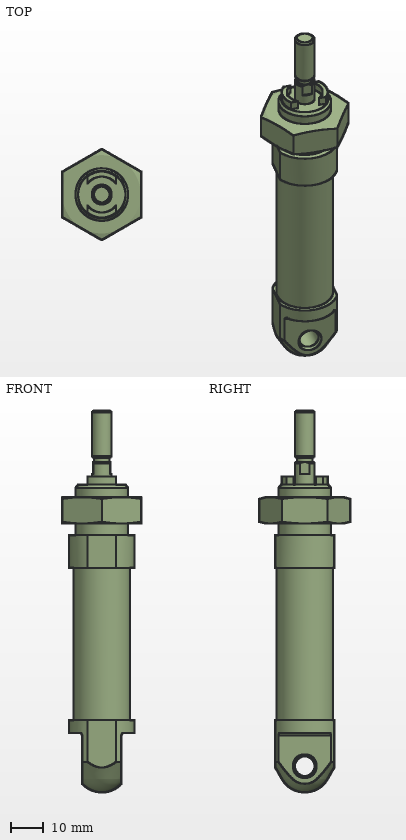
import cadquery as cq
import math


clevis_radius = 8.0
cone_half_angle = 30.0
clevis_thickness = 11.9
clevis_hole_diameter = 6.0
clevis_mouth_diameter = 7.2
clevis_mouth_depth = 1.0
shoulder_z = 10.0
shoulder_bevel_width = 0.35
shoulder_bevel_height = 0.7

cap_diameter = 20.0
cap_across_flats = 18.0
rear_cap_top_z = 14.0
tube_diameter = 17.3
front_cap_length = 10.0
front_cap_top_z = 70.2

nose_diameter = 16.0
nose_tip_diameter = 14.38
nose_length = 15.3
nose_chamfer_length = 1.0

lug_inner_diameter = 10.9
lug_outer_diameter = 14.0
lug_width = 8.7
lug_height = 2.5

nut_across_flats = 24.0
nut_height = 8.0
nut_standoff = 3.5
nut_z = front_cap_top_z + nut_standoff
nut_chamfer_diameter = 23.8
nut_chamfer_angle = 15.0

rod_diameter = 6.0
rod_neck_diameter = 4.8
rod_top_z = 108.0
rod_thread_length = 14.4
rod_neck_length = 1.2
rod_shank_chamfer = 0.4
rod_across_flats = 5.2
rod_flat_length = 3.6

nose_face_z = front_cap_top_z + nose_length
front_cap_bottom_z = front_cap_top_z - front_cap_length


def disc(diameter, bottom_z, height):
    return cq.Workplane("XY").workplane(offset=bottom_z).circle(diameter / 2).extrude(height)


def revolve_about_z(profile):
    """Turn a closed (radius, z) profile drawn on the XZ plane about the Z axis."""
    return profile.revolve(360, (0, 0, 0), (0, 1, 0))


def flatted_cap(bottom_z, height):
    """Round cap with two parallel flats facing -Y and +Y."""
    flats = (
        cq.Workplane("XY")
        .workplane(offset=bottom_z)
        .rect(cap_diameter, cap_across_flats)
        .extrude(height)
    )
    return disc(cap_diameter, bottom_z, height).intersect(flats)


def rear_cap():
    """Rear cap with a ball-and-cone end, narrowed along X into the clevis tongue."""
    angle = math.radians(cone_half_angle)
    tangent_radius = clevis_radius * math.cos(angle)
    tangent_z = -clevis_radius * math.sin(angle)
    cap_radius = cap_diameter / 2
    cone_top_z = tangent_z + (cap_radius - tangent_radius) / math.tan(angle)
    arc_mid_angle = (math.pi / 2 + angle) / 2
    rounded_end = revolve_about_z(
        cq.Workplane("XZ")
        .moveTo(0, -clevis_radius)
        .threePointArc(
            (clevis_radius * math.cos(arc_mid_angle), -clevis_radius * math.sin(arc_mid_angle)),
            (tangent_radius, tangent_z),
        )
        .lineTo(cap_radius, cone_top_z)
        .lineTo(cap_radius, rear_cap_top_z)
        .lineTo(0, rear_cap_top_z)
        .close()
    )
    flatted_blank = flatted_cap(-clevis_radius, rear_cap_top_z + clevis_radius)
    side_cutter = clevis_side_cutter()
    cap = rounded_end.intersect(flatted_blank).cut(clevis_hole())
    for side in (side_cutter, side_cutter.mirror("YZ")):
        cap = cap.cut(side)
    return cap


def clevis_side_cutter():
    """Tool that clears the space beside the clevis on the +X side, up to the shoulder."""
    side_x = clevis_thickness / 2
    return (
        cq.Workplane("XZ")
        .moveTo(side_x, -clevis_radius)
        .lineTo(cap_diameter / 2, -clevis_radius)
        .lineTo(cap_diameter / 2, shoulder_z)
        .lineTo(side_x + shoulder_bevel_width, shoulder_z)
        .lineTo(side_x, shoulder_z - shoulder_bevel_height)
        .close()
        .extrude(cap_diameter / 2, both=True)
    )


def clevis_hole():
    """Cross hole along X countersunk at each mouth, as a cutting tool."""
    half_thickness = clevis_thickness / 2
    hole_radius = clevis_hole_diameter / 2
    mouth_radius = clevis_mouth_diameter / 2
    inner_x = half_thickness - clevis_mouth_depth
    return (
        cq.Workplane("XY")
        .moveTo(-half_thickness, 0)
        .lineTo(-half_thickness, mouth_radius)
        .lineTo(-inner_x, hole_radius)
        .lineTo(inner_x, hole_radius)
        .lineTo(half_thickness, mouth_radius)
        .lineTo(half_thickness, 0)
        .close()
        .revolve(360, (0, 0, 0), (1, 0, 0))
    )


def nose():
    nose_radius = nose_diameter / 2
    return revolve_about_z(
        cq.Workplane("XZ")
        .moveTo(0, front_cap_top_z)
        .lineTo(nose_radius, front_cap_top_z)
        .lineTo(nose_radius, nose_face_z - nose_chamfer_length)
        .lineTo(nose_tip_diameter / 2, nose_face_z)
        .lineTo(0, nose_face_z)
        .close()
    )


def wrench_lugs():
    """Two ring segments left standing on the nose face, one at -Y and one at +Y."""
    ring = disc(lug_outer_diameter, nose_face_z, lug_height).cut(
        disc(lug_inner_diameter, nose_face_z, lug_height)
    )
    strip = (
        cq.Workplane("XY")
        .workplane(offset=nose_face_z)
        .rect(lug_width, lug_outer_diameter)
        .extrude(lug_height)
    )
    return ring.intersect(strip)


def make_housing():
    """Caps, tube, nose and lugs as one solid."""
    tube = disc(tube_diameter, rear_cap_top_z, front_cap_bottom_z - rear_cap_top_z)
    front_cap = flatted_cap(front_cap_bottom_z, front_cap_length)
    return rear_cap().union(tube).union(front_cap).union(nose()).union(wrench_lugs())


def make_nut():
    """Hexagonal nut around the nose, with two flats facing -X and +X."""
    corner_diameter = nut_across_flats / math.cos(math.radians(30))
    blank = (
        cq.Workplane("XY")
        .workplane(offset=nut_z)
        .polygon(6, corner_diameter)
        .extrude(nut_height)
        .rotate((0, 0, 0), (0, 0, 1), 30)
    )
    face_radius = nut_chamfer_diameter / 2
    corner_radius = corner_diameter / 2
    bevel = (corner_radius - face_radius) * math.tan(math.radians(nut_chamfer_angle))
    nut_top_z = nut_z + nut_height
    envelope = revolve_about_z(
        cq.Workplane("XZ")
        .moveTo(0, nut_z)
        .lineTo(face_radius, nut_z)
        .lineTo(corner_radius, nut_z + bevel)
        .lineTo(corner_radius, nut_top_z - bevel)
        .lineTo(face_radius, nut_top_z)
        .lineTo(0, nut_top_z)
        .close()
    )
    return blank.intersect(envelope).cut(disc(nose_diameter, nut_z, nut_height))


def make_rod():
    """Rod standing on the nose face, with a threaded tip, an undercut and wrench flats."""
    rod_radius = rod_diameter / 2
    neck_radius = rod_neck_diameter / 2
    chamfer = rod_radius - neck_radius
    neck_top_z = rod_top_z - rod_thread_length
    shank_top_z = neck_top_z - rod_neck_length
    turned_rod = revolve_about_z(
        cq.Workplane("XZ")
        .moveTo(0, nose_face_z)
        .lineTo(rod_radius, nose_face_z)
        .lineTo(rod_radius, shank_top_z - rod_shank_chamfer)
        .lineTo(rod_radius - rod_shank_chamfer, shank_top_z)
        .lineTo(neck_radius, shank_top_z)
        .lineTo(neck_radius, neck_top_z)
        .lineTo(rod_radius, neck_top_z + chamfer)
        .lineTo(rod_radius, rod_top_z - chamfer)
        .lineTo(neck_radius, rod_top_z)
        .lineTo(0, rod_top_z)
        .close()
    )
    flat_bottom_z = shank_top_z - rod_flat_length
    flat_cutter = (
        cq.Workplane("XY")
        .workplane(offset=flat_bottom_z)
        .rect(rod_diameter * 2, rod_diameter * 2)
        .rect(rod_across_flats, rod_diameter * 2)
        .extrude(rod_flat_length)
    )
    return turned_rod.cut(flat_cutter)


housing = make_housing()
nut = make_nut()
rod = make_rod()

result = cq.Compound.makeCompound([housing.val(), nut.val(), rod.val()])